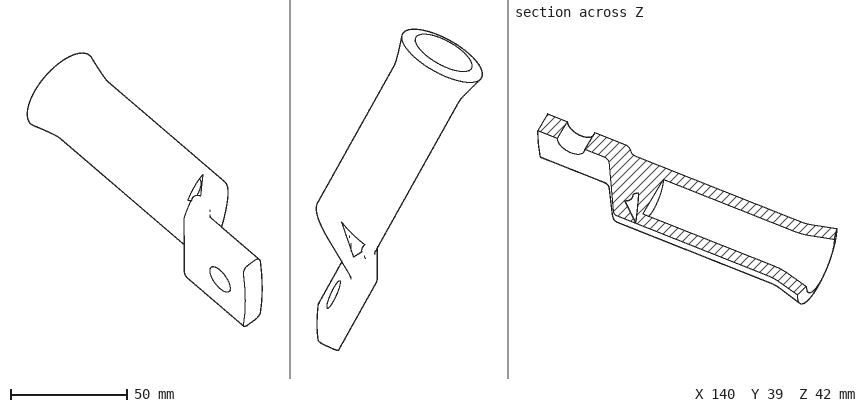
import cadquery as cq
import math

barrel_radius = 16.0
bore_radius = 10.0
bore_depth = 80.0
wall = barrel_radius - bore_radius

flare_radius = 19.5
flare_angle = math.radians(15)
flare_bend_length = 5.0

tongue_width = 42.0
half_width = tongue_width / 2
tongue_thickness = 10.0
tongue_bottom_y = -flare_radius
tongue_top_y = tongue_bottom_y + tongue_thickness
tongue_end_x = 140.0
end_arc_radius = 140.0
hole_diameter = 13.0
hole_end_distance = 16.0
hole_x = tongue_end_x - hole_end_distance

ramp_angle = math.radians(60)
upper_corner_x = 106.0
lower_corner_x = upper_corner_x - tongue_thickness * math.tan(ramp_angle / 2)
upper_bend_radius = 4.0
lower_bend_radius = 5.0
shoulder_y = -8.86

edge_radius = 3.0
clearance = 5.0


def upper_ramp_x(y):
    """X of the upper ramp plane at a given Y."""
    return upper_corner_x - (y - tongue_top_y) / math.tan(ramp_angle)


def lower_ramp_x(y):
    """X of the lower ramp plane at a given Y."""
    return lower_corner_x - (y - tongue_bottom_y) / math.tan(ramp_angle)


def bend_points(corner_x, corner_y, radius):
    """Start on the tongue, middle, and end on the ramp of a bend in the XY plane."""
    start_x = corner_x + radius * math.tan(ramp_angle / 2)

    def point(angle):
        return (start_x - radius * math.sin(angle), corner_y + radius * (1 - math.cos(angle)))

    return point(0), point(ramp_angle / 2), point(ramp_angle)


def side_tangent_point():
    """(Y, Z) where the plane through the +Z shoulder edge touches the barrel."""
    shoulder_distance = math.hypot(shoulder_y, half_width)
    angle = math.atan2(half_width, shoulder_y) - math.acos(barrel_radius / shoulder_distance)
    return barrel_radius * math.cos(angle), barrel_radius * math.sin(angle)


upper_bend = bend_points(upper_corner_x, tongue_top_y, upper_bend_radius)
lower_bend = bend_points(lower_corner_x, tongue_bottom_y, lower_bend_radius)
tangent_y, tangent_z = side_tangent_point()


def make_barrel():
    """Flared tube with a blind bore, cut off by the upper ramp plane."""
    outer_bend_radius = flare_bend_length / math.sin(flare_angle)
    inner_bend_radius = outer_bend_radius + wall
    bend_center_y = barrel_radius + outer_bend_radius

    rim_x = wall * math.sin(flare_angle)
    mouth_radius = flare_radius - wall * math.cos(flare_angle)
    cone_end_radius = bend_center_y - outer_bend_radius * math.cos(flare_angle)
    cone_end_x = rim_x + (flare_radius - cone_end_radius) / math.tan(flare_angle)
    flare_end_x = cone_end_x + flare_bend_length

    def bend(radius, angle):
        return (flare_end_x - radius * math.sin(angle), bend_center_y - radius * math.cos(angle))

    blank_end_x = lower_ramp_x(-barrel_radius) + clearance
    blank = (
        cq.Workplane("XY")
        .moveTo(bore_depth, 0)
        .lineTo(bore_depth, bore_radius)
        .lineTo(flare_end_x, bore_radius)
        .threePointArc(bend(inner_bend_radius, flare_angle / 2), bend(inner_bend_radius, flare_angle))
        .lineTo(0, mouth_radius)
        .lineTo(rim_x, flare_radius)
        .lineTo(cone_end_x, cone_end_radius)
        .threePointArc(bend(outer_bend_radius, flare_angle / 2), (flare_end_x, barrel_radius))
        .lineTo(blank_end_x, barrel_radius)
        .lineTo(blank_end_x, 0)
        .close()
        .revolve(360, (0, 0, 0), (1, 0, 0))
    )
    limit_y = flare_radius + clearance
    limit = (
        cq.Workplane("XY")
        .moveTo(-clearance, -limit_y)
        .lineTo(upper_ramp_x(-limit_y), -limit_y)
        .lineTo(upper_ramp_x(limit_y), limit_y)
        .lineTo(-clearance, limit_y)
        .close()
        .extrude(limit_y, both=True)
    )
    return blank.intersect(limit)


def make_tongue():
    """Bent slab, narrowed to the barrel along the ramp and arched at its free end."""
    blank_end_x = tongue_end_x + clearance
    ramp_top_y = barrel_radius + clearance
    slab = (
        cq.Workplane("XY")
        .moveTo(blank_end_x, tongue_bottom_y)
        .lineTo(*lower_bend[0])
        .threePointArc(*lower_bend[1:])
        .lineTo(lower_ramp_x(ramp_top_y), ramp_top_y)
        .lineTo(upper_ramp_x(ramp_top_y), ramp_top_y)
        .lineTo(*upper_bend[2])
        .threePointArc(upper_bend[1], upper_bend[0])
        .lineTo(blank_end_x, tongue_top_y)
        .close()
        .extrude(half_width, both=True)
    )
    width_limit = (
        cq.Workplane("YZ")
        .moveTo(tongue_bottom_y, -half_width)
        .lineTo(shoulder_y, -half_width)
        .lineTo(tangent_y, -tangent_z)
        .threePointArc((barrel_radius, 0), (tangent_y, tangent_z))
        .lineTo(shoulder_y, half_width)
        .lineTo(tongue_bottom_y, half_width)
        .close()
        .extrude(blank_end_x)
    )
    end_drop = end_arc_radius - math.sqrt(end_arc_radius**2 - half_width**2)
    end_limit = (
        cq.Workplane("XZ")
        .moveTo(0, -half_width)
        .lineTo(tongue_end_x - end_drop, -half_width)
        .threePointArc((tongue_end_x, 0), (tongue_end_x - end_drop, half_width))
        .lineTo(0, half_width)
        .close()
        .extrude(ramp_top_y, both=True)
    )
    return slab.intersect(width_limit).intersect(end_limit)


def round_edges(body, points):
    """Fillet the edges that pass closest to the given points."""
    solid = body.val()
    edges = []
    for point in points:
        marker = cq.Vertex.makeVertex(*point)
        edges.append(min(solid.Edges(), key=marker.distance))
    return cq.Workplane(obj=solid.fillet(edge_radius, edges))


def round_body(body):
    """Round the outline of the upper and lower faces and the root of the barrel."""
    side_y = (shoulder_y + tangent_y) / 2
    side_z = (half_width + tangent_z) / 2
    upper_tongue = [(hole_x, tongue_top_y, z) for z in (-half_width, half_width)]
    barrel_end = (upper_ramp_x(barrel_radius), barrel_radius, 0)
    upper_ramp = [(upper_ramp_x(side_y), side_y, z) for z in (-side_z, side_z)]
    lower_tongue = [(hole_x, tongue_bottom_y, z) for z in (-half_width, half_width)]
    lower_ramp = [(lower_ramp_x(side_y), side_y, z) for z in (-side_z, side_z)]
    root = (lower_ramp_x(-barrel_radius), -barrel_radius, 0)

    body = round_edges(body, upper_tongue)
    body = round_edges(body, [barrel_end] + upper_ramp)
    return round_edges(body, lower_tongue + lower_ramp + [root])


def make_hole():
    """Bolt hole through the tongue along Y."""
    return (
        cq.Workplane("XZ", origin=(hole_x, tongue_top_y + clearance, 0))
        .circle(hole_diameter / 2)
        .extrude(tongue_thickness + 2 * clearance)
    )


sharp_body = make_barrel().union(make_tongue()).solids()
result = round_body(sharp_body).cut(make_hole()).solids()